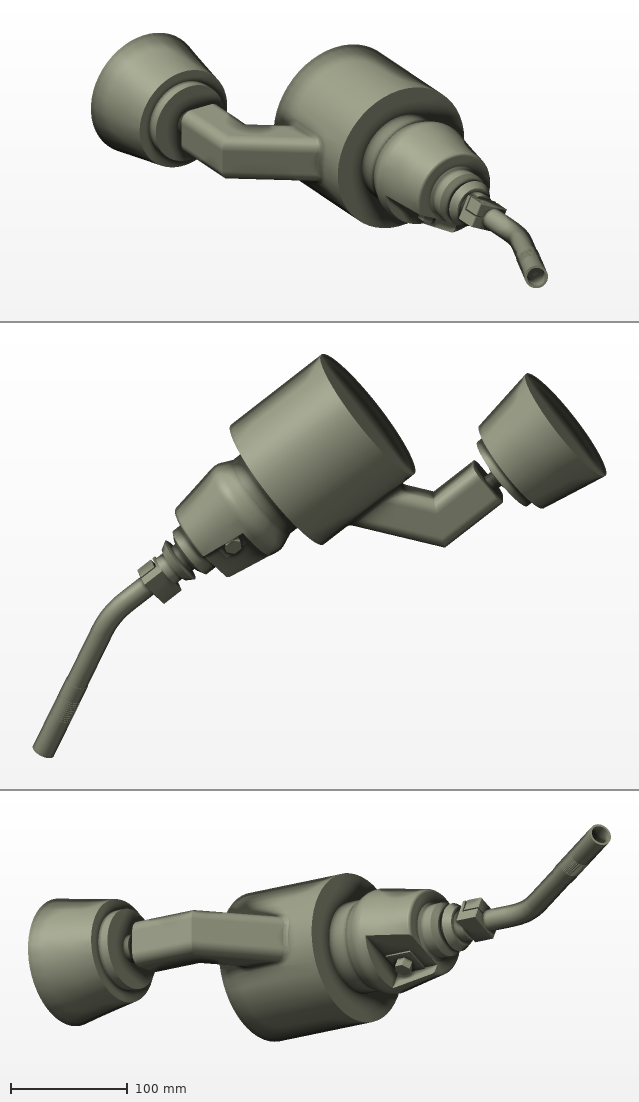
import cadquery as cq
import math

ROLL = -26.0

DRUM_RADIUS = 65.0
DRUM_LENGTH = 100.0
COLLAR_RADIUS = 40.0
COLLAR_LENGTH = 17.5
ARM_SIZE = 40.0
ARM_EDGE_RADIUS = 10.0
ARM_START_X = -42.5
ARM_ELBOW_X = 11.6
ARM_AXIS_Y = -111.8
ARM_ANGLE = 53.0
ARM_ROOT_RADIUS = 5.0
ARM_ROOT_DEPTH = 30.0
SEAM_MARGIN = 1.0
SEAM_TOLERANCE = 0.01

OVERALL_WIDTH = 234.73
CUP_LENGTH = 60.0
CUP_TAPER = 10.0
CUP_SMALL_RADIUS = 45.0
CUP_LARGE_RADIUS = CUP_SMALL_RADIUS + CUP_LENGTH * math.tan(math.radians(CUP_TAPER))
CUP_AXIS_Y = DRUM_RADIUS + CUP_LARGE_RADIUS - OVERALL_WIDTH
CUP_LEFT_X = -126.0
CUP_FLANGE_RADIUS = 35.0
CUP_FLANGE_LENGTH = 10.0
CUP_BOSS_RADIUS = 12.5
CUP_BOSS_LENGTH = 5.0
CUP_SHAFT_RADIUS = 7.5

BELL_START_X = DRUM_LENGTH + COLLAR_LENGTH
BELL_FLARE_LENGTH = 10.0
BELL_FLARE_ANGLE = 24.0
BELL_TAPER = 10.0
BELL_CREST_RADIUS = 15.5
BELL_END_X = 184.0
BELL_RIM_RADIUS = 3.0
POCKET_START_X = 142.0
POCKET_ROOF_Z = -25.0
POCKET_WALL_Y = 15.0

BOLT_X = 158.1
BOLT_PLATE_LENGTH = 26.0
BOLT_PLATE_WIDTH = 23.5
BOLT_PLATE_THICKNESS = 1.6
BOLT_Y = POCKET_WALL_Y - BOLT_PLATE_WIDTH / 2
BOLT_HEX_FLATS = 13.0
BOLT_HEX_TURN = 30.0
BOLT_HEIGHT = 10.0

COUPLING_RIM_RADIUS = 25.5
COUPLING_RIM_END_X = 186.0
COUPLING_BODY_RADIUS = 23.5
COUPLING_BODY_END_X = 196.5
COUPLING_SHOULDER_RADIUS = 17.5
COUPLING_SHOULDER_END_X = 200.0
COUPLING_NECK_RADIUS = 13.5
SKIRT_RADIUS = 21.0
SKIRT_START_X = 205.5
SKIRT_CREST_X = 207.0
SKIRT_END_RADIUS = 17.0
SKIRT_END_X = 213.8
SLEEVE_RADIUS = 13.8

CLAMP_START_X = 222.7
CLAMP_LENGTH = 20.0
CLAMP_END_X = CLAMP_START_X + CLAMP_LENGTH
CLAMP_FRONT = 18.5
CLAMP_BACK = 11.5
CLAMP_HALF_HEIGHT = 11.0
CLAMP_CHAMFER = 0.6
JAW_SLIT_START = 3.0
JAW_SLIT_WIDTH = 1.7
JAW_GAP = 1.5
JAW_BOTTOM_Z = 0.0
JAW_HOLE_RADIUS = 2.5
JAW_HOLE_X = 235.0
JAW_HOLE_Y = -13.3

TUBE_RADIUS = 9.5
STUB_END_X = 266.7
BEND_RADIUS = 65.0
BEND_ANGLE = 30.0
NECK_STRAIGHT_LENGTH = 56.0
NOZZLE_RADIUS = 10.0
NOZZLE_BORE_RADIUS = 8.0
NOZZLE_BORE_DEPTH = 30.0
NOZZLE_LENGTH = 74.3
GROOVE_START = 15.0
GROOVE_COUNT = 11
GROOVE_PITCH = 2.0
GROOVE_WIDTH = 1.0
GROOVE_DEPTH = 0.5


def rolled(body):
    return body.rotate((0, 0, 0), (1, 0, 0), ROLL)


def rod(start_x, length, radius, axis_y=0.0):
    return cq.Workplane("YZ", origin=(start_x, axis_y, 0)).circle(radius).extrude(length)


def turned(profile):
    """Revolve an outline in the XY plane about the X axis."""
    return profile.close().revolve(360, (0, 0, 0), (1, 0, 0))


def make_cup():
    flange_x = CUP_LEFT_X + CUP_LENGTH
    boss_x = flange_x + CUP_FLANGE_LENGTH
    shaft_x = boss_x + CUP_BOSS_LENGTH
    outline = (
        cq.Workplane("XY")
        .moveTo(CUP_LEFT_X, 0)
        .lineTo(CUP_LEFT_X, CUP_LARGE_RADIUS)
        .lineTo(flange_x, CUP_SMALL_RADIUS)
        .lineTo(flange_x, CUP_FLANGE_RADIUS)
        .lineTo(boss_x, CUP_FLANGE_RADIUS)
        .lineTo(boss_x, CUP_BOSS_RADIUS)
        .lineTo(shaft_x, CUP_BOSS_RADIUS)
        .lineTo(shaft_x, CUP_SHAFT_RADIUS)
        .lineTo(ARM_START_X, CUP_SHAFT_RADIUS)
        .lineTo(ARM_START_X, 0)
    )
    return turned(outline).translate((0, CUP_AXIS_Y, 0))


def make_arm():
    rise = -DRUM_RADIUS + ARM_ROOT_DEPTH - ARM_AXIS_Y
    run = rise / math.tan(math.radians(ARM_ANGLE))
    path = cq.Workplane("XY").polyline(
        [
            (ARM_START_X, ARM_AXIS_Y),
            (ARM_ELBOW_X, ARM_AXIS_Y),
            (ARM_ELBOW_X + run, ARM_AXIS_Y + rise),
        ]
    )
    section = cq.Sketch().rect(ARM_SIZE, ARM_SIZE).vertices().fillet(ARM_EDGE_RADIUS)
    start = cq.Workplane("YZ", origin=(ARM_START_X, ARM_AXIS_Y, 0))
    return start.placeSketch(section).sweep(path, transition="right")


def lies_on_drum(edge):
    sample_places = [0, 0.3, 0.7, 1]
    return all(
        abs(math.hypot(point.y, point.z) - DRUM_RADIUS) < SEAM_TOLERANCE
        for point in edge.positions(sample_places)
    )


def make_housing():
    joined = rod(0, DRUM_LENGTH, DRUM_RADIUS).union(make_arm())
    arm_side = cq.selectors.BoxSelector(
        (SEAM_MARGIN, -DRUM_RADIUS - SEAM_MARGIN, -ARM_SIZE),
        (DRUM_LENGTH - SEAM_MARGIN, -DRUM_RADIUS / 2, ARM_SIZE),
    )
    seam = joined.edges(arm_side).filter(lies_on_drum)
    blended = seam.fillet(ARM_ROOT_RADIUS)
    return blended.union(rod(DRUM_LENGTH, COLLAR_LENGTH, COLLAR_RADIUS))


def make_bell():
    flare = math.radians(BELL_FLARE_ANGLE)
    taper = math.radians(BELL_TAPER)
    flare_x = BELL_START_X + BELL_FLARE_LENGTH
    flare_radius = COLLAR_RADIUS + BELL_FLARE_LENGTH * math.tan(flare)
    crest_x = flare_x + BELL_CREST_RADIUS * math.sin(flare)
    crest_radius = flare_radius + BELL_CREST_RADIUS * (1 - math.cos(flare))
    cone_x = crest_x + BELL_CREST_RADIUS * math.sin(taper)
    cone_radius = crest_radius - BELL_CREST_RADIUS * (1 - math.cos(taper))
    end_radius = cone_radius - (BELL_END_X - cone_x) * math.tan(taper)
    outline = (
        cq.Workplane("XY")
        .moveTo(BELL_START_X, 0)
        .lineTo(BELL_START_X, COLLAR_RADIUS)
        .lineTo(flare_x, flare_radius)
        .threePointArc((crest_x, crest_radius), (cone_x, cone_radius))
        .lineTo(BELL_END_X, end_radius)
        .lineTo(BELL_END_X, 0)
    )
    reach = 2 * crest_radius
    pocket = cq.Workplane("XY").box(
        BELL_END_X - POCKET_START_X, reach, reach, centered=False
    ).translate((POCKET_START_X, POCKET_WALL_Y - reach, POCKET_ROOF_Z - reach))
    bell = turned(outline).faces(">X").edges().fillet(BELL_RIM_RADIUS)
    return rolled(bell.cut(pocket))


def make_bolt():
    roof = cq.Workplane("XY", origin=(BOLT_X, BOLT_Y, POCKET_ROOF_Z))
    plate = roof.rect(BOLT_PLATE_LENGTH, BOLT_PLATE_WIDTH).extrude(-BOLT_PLATE_THICKNESS)
    head = roof.transformed(rotate=(0, 0, BOLT_HEX_TURN))
    head = head.polygon(6, BOLT_HEX_FLATS, circumscribed=True).extrude(-BOLT_HEIGHT)
    return rolled(plate.union(head))


def make_coupling():
    outline = (
        cq.Workplane("XY")
        .moveTo(BELL_END_X, 0)
        .lineTo(BELL_END_X, COUPLING_RIM_RADIUS)
        .lineTo(COUPLING_RIM_END_X, COUPLING_BODY_RADIUS)
        .lineTo(COUPLING_BODY_END_X, COUPLING_BODY_RADIUS)
        .lineTo(COUPLING_SHOULDER_END_X, COUPLING_SHOULDER_RADIUS)
        .lineTo(COUPLING_SHOULDER_END_X, COUPLING_NECK_RADIUS)
        .lineTo(SKIRT_START_X, COUPLING_NECK_RADIUS)
        .lineTo(SKIRT_CREST_X, SKIRT_RADIUS)
        .lineTo(SKIRT_END_X, SKIRT_END_RADIUS)
        .lineTo(SKIRT_END_X, SLEEVE_RADIUS)
        .lineTo(CLAMP_START_X, SLEEVE_RADIUS)
        .lineTo(CLAMP_START_X, 0)
    )
    return turned(outline)


def clamp_part(start_x, bottom):
    """The part of the bored clamp block to the right of start_x and above bottom."""
    width = CLAMP_FRONT + CLAMP_BACK
    middle_y = (CLAMP_BACK - CLAMP_FRONT) / 2
    block = cq.Workplane("YZ", origin=(CLAMP_START_X, middle_y, 0))
    block = block.rect(width, 2 * CLAMP_HALF_HEIGHT).extrude(CLAMP_LENGTH)
    block = block.faces(">X").edges().chamfer(CLAMP_CHAMFER)
    block = block.cut(rod(CLAMP_START_X, CLAMP_LENGTH, TUBE_RADIUS))
    kept = cq.Workplane("XY", origin=(start_x, middle_y - width / 2, bottom)).box(
        CLAMP_END_X - start_x, width, CLAMP_HALF_HEIGHT - bottom, centered=False
    )
    return block.intersect(kept)


def make_clamp():
    block = clamp_part(CLAMP_START_X, -CLAMP_HALF_HEIGHT)
    seat = clamp_part(CLAMP_START_X + JAW_SLIT_START, JAW_BOTTOM_Z - JAW_GAP)
    return rolled(block.cut(seat))


def make_jaw():
    jaw = clamp_part(CLAMP_START_X + JAW_SLIT_START + JAW_SLIT_WIDTH, JAW_BOTTOM_Z)
    hole = cq.Workplane("XY", origin=(JAW_HOLE_X, JAW_HOLE_Y, JAW_BOTTOM_Z))
    hole = hole.circle(JAW_HOLE_RADIUS).extrude(CLAMP_HALF_HEIGHT - JAW_BOTTOM_Z)
    return rolled(jaw.cut(hole))


def make_stub():
    return rod(CLAMP_START_X, STUB_END_X - CLAMP_START_X, TUBE_RADIUS)


def make_neck():
    bend = math.radians(BEND_ANGLE)
    bend_end = (
        STUB_END_X + BEND_RADIUS * math.sin(bend),
        -BEND_RADIUS * (1 - math.cos(bend)),
    )
    bend_middle = (
        STUB_END_X + BEND_RADIUS * math.sin(bend / 2),
        -BEND_RADIUS * (1 - math.cos(bend / 2)),
    )
    neck_end = (
        bend_end[0] + NECK_STRAIGHT_LENGTH * math.cos(bend),
        bend_end[1] - NECK_STRAIGHT_LENGTH * math.sin(bend),
    )
    path = (
        cq.Workplane("XY")
        .moveTo(STUB_END_X, 0)
        .threePointArc(bend_middle, bend_end)
        .lineTo(*neck_end)
    )
    start = cq.Workplane("YZ", origin=(STUB_END_X, 0, 0))
    return rolled(start.circle(TUBE_RADIUS).sweep(path)), neck_end


def make_nozzle(neck_end):
    nozzle = rod(0, NOZZLE_LENGTH, NOZZLE_RADIUS)
    nozzle = nozzle.cut(
        rod(NOZZLE_LENGTH - NOZZLE_BORE_DEPTH, NOZZLE_BORE_DEPTH, NOZZLE_BORE_RADIUS)
    )
    for index in range(GROOVE_COUNT):
        groove_x = GROOVE_START + index * GROOVE_PITCH
        ring = rod(groove_x, GROOVE_WIDTH, NOZZLE_RADIUS).cut(
            rod(groove_x, GROOVE_WIDTH, NOZZLE_RADIUS - GROOVE_DEPTH)
        )
        nozzle = nozzle.cut(ring)
    nozzle = nozzle.rotate((0, 0, 0), (0, 0, 1), -BEND_ANGLE)
    return rolled(nozzle.translate((neck_end[0], neck_end[1], 0)))


cup = make_cup()
housing = make_housing()
bell = make_bell()
bolt = make_bolt()
coupling = make_coupling()
clamp = make_clamp()
jaw = make_jaw()
stub = make_stub()
neck, neck_end_point = make_neck()
nozzle = make_nozzle(neck_end_point)
bodies = [cup, housing, bell, bolt, coupling, clamp, jaw, stub, neck, nozzle]
result = cq.Compound.makeCompound([body.val() for body in bodies])